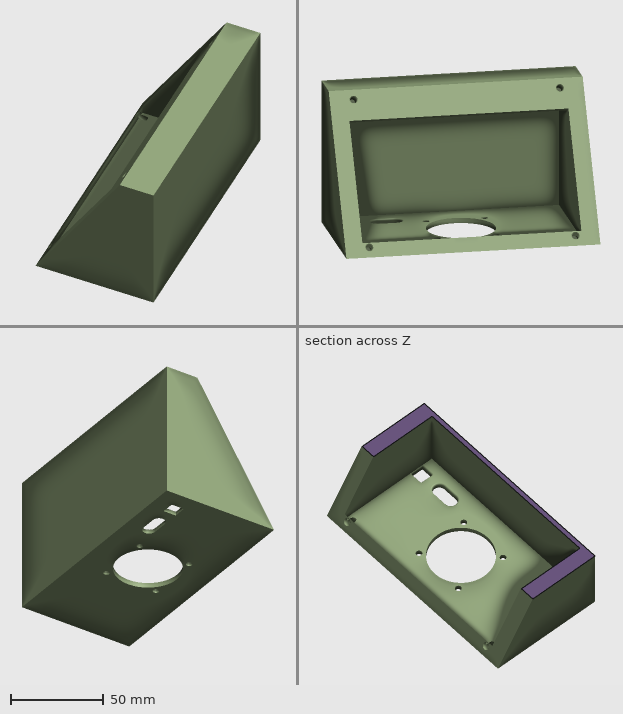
import cadquery as cq
import math

depth = 70.0
width = 140.0
height = 80.0
top_depth = 20.0
wall = 3.0

run = depth - top_depth
slope_length = math.hypot(run, height)
inward_x = height / slope_length
inward_z = -run / slope_length

side_wall = 9.7
opening_bottom = 7.0
opening_top = 65.2
ceiling_land = 3.5

screw_inset = 13.2
screw_heights = (4.8, 75.2)
screw_diameter = 3.6
screw_depth = 6.0
screw_chamfer = 0.4

port_diameter = 38.0
port_hole_diameter = 3.6
port_hole_spacing = 32.2

connector_x = 56.0
slot_y = 107.0
slot_length = 17.0
slot_width = 7.5
square_y = 126.0
square_size = 7.8
square_corner_radius = 0.5
rim_radius = 1.0


def slope_x(z):
    """X position of the slanted face at height z."""
    return z * run / height


def make_body():
    outline = [(0, 0), (depth, 0), (depth, height), (run, height)]
    return cq.Workplane("XZ").polyline(outline).close().extrude(-width)


def make_cavity():
    front = slope_x(opening_bottom)
    top_front = slope_x(opening_top)
    land_x = top_front + ceiling_land * inward_x
    ceiling = opening_top + ceiling_land * inward_z
    back = depth - wall
    outline = [
        (front, wall),
        (back, wall),
        (back, ceiling),
        (land_x, ceiling),
        (top_front, opening_top),
        (front, opening_top),
    ]
    cavity_width = width - 2 * side_wall
    return cq.Workplane("XZ", origin=(0, side_wall, 0)).polyline(outline).close().extrude(-cavity_width)


def make_screw_hole(y, z):
    mouth = cq.Vector(slope_x(z), y, z)
    direction = cq.Vector(inward_x, 0, inward_z)
    bore = cq.Solid.makeCylinder(screw_diameter / 2, screw_depth, mouth, direction)
    chamfer = cq.Solid.makeCone(
        screw_diameter / 2 + screw_chamfer, screw_diameter / 2, screw_chamfer, mouth, direction
    )
    return bore.fuse(chamfer)


def cut_port(body):
    floor = cq.Workplane("XY", origin=(depth / 2, width / 2, 0))
    port = floor.circle(port_diameter / 2).extrude(wall)
    fixings = (
        floor.rect(port_hole_spacing, port_hole_spacing, forConstruction=True)
        .vertices()
        .circle(port_hole_diameter / 2)
        .extrude(wall)
    )
    return body.cut(port).cut(fixings)


def make_connector_cutter():
    """Material removed by both connector openings, including their rounded upper rims."""
    plate = cq.Workplane("XY").rect(depth, width, centered=False).extrude(wall)
    slot = (
        cq.Workplane("XY", origin=(connector_x, slot_y, 0))
        .slot2D(slot_length, slot_width, 90)
        .extrude(wall)
    )
    square = (
        cq.Workplane("XY", origin=(connector_x, square_y, 0))
        .rect(square_size, square_size)
        .extrude(wall)
        .edges("|Z")
        .fillet(square_corner_radius)
    )
    pierced = plate.cut(slot).cut(square)
    rims = pierced.faces(">Z").wires().vals()
    inner_edges = [edge for wire in rims if wire.BoundingBox().xlen < depth / 2 for edge in wire.Edges()]
    rounded = pierced.newObject(inner_edges).fillet(rim_radius)
    return plate.cut(rounded)


result = make_body().cut(make_cavity())
for screw_y in (screw_inset, width - screw_inset):
    for screw_z in screw_heights:
        result = result.cut(cq.Workplane(make_screw_hole(screw_y, screw_z)))
result = cut_port(result)
result = result.cut(make_connector_cutter())